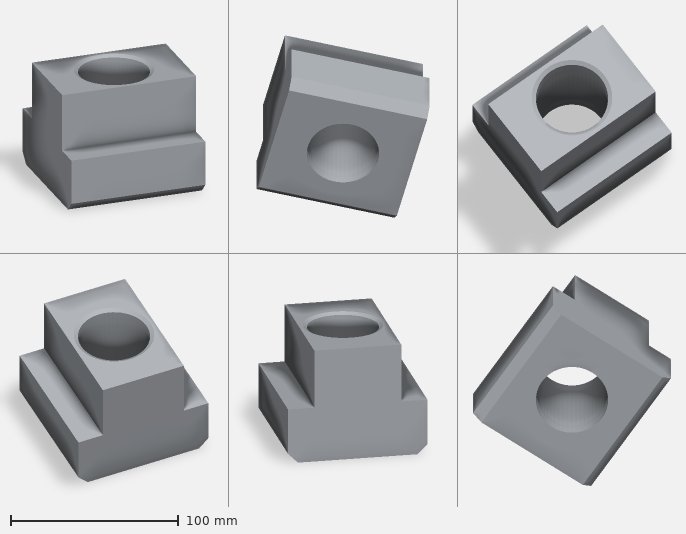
import cadquery as cq

base_width = 85.0
length = 85.0
total_height = 70.0

neck_width = 53.0
base_height = 34.0

bevel_size = 6.0

hole_diameter = 43.0
countersink_diameter = 48.0
countersink_angle = 120.0


def make_body():
    """T-shaped bar running along Y, with its underside at Z = 0."""
    base = (
        cq.Workplane("XY")
        .box(base_width, length, base_height, centered=(True, True, False))
        .faces("<Z")
        .edges("|Y")
        .chamfer(bevel_size)
    )
    neck = (
        cq.Workplane("XY")
        .workplane(offset=base_height)
        .rect(neck_width, length)
        .extrude(total_height - base_height)
    )
    return base.union(neck)


def cut_hole(body):
    """Cut the central through hole and its countersink."""
    return (
        body.faces(">Z")
        .workplane(origin=(0, 0, total_height))
        .cskHole(hole_diameter, countersink_diameter, countersink_angle)
    )


result = cut_hole(make_body())